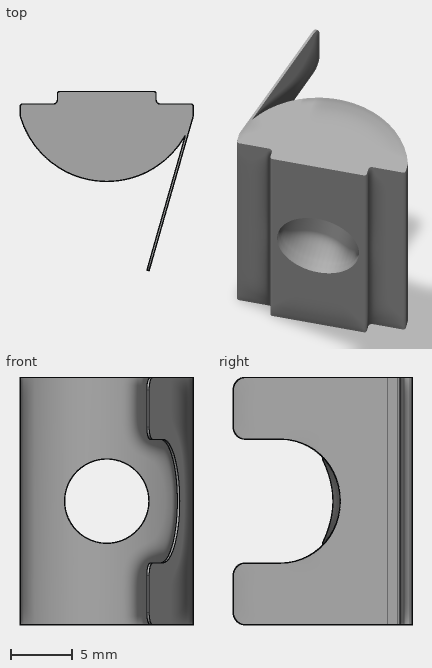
import cadquery as cq
import math

height = 20.0
body_width = 14.0
half_width = body_width / 2
flank_end = 2.0
body_radius = math.hypot(half_width, flank_end)
neck_width = 8.0
neck_depth = 1.0
edge_radius = 0.2
root_radius = 0.3

hole_radius = 3.4

leaf_thickness = 0.2
total_depth = 14.5
leaf_corner_radius = 1.0
notch_radius = 5.0
notch_center = 9.0

lean = math.asin(flank_end / body_radius)
leaf_length = (total_depth - flank_end) / math.cos(lean)


def make_body():
    half_neck = neck_width / 2
    body = (
        cq.Workplane("XY")
        .moveTo(-half_neck, 0)
        .lineTo(half_neck, 0)
        .lineTo(half_neck, -neck_depth)
        .lineTo(half_width, -neck_depth)
        .lineTo(half_width, -flank_end)
        .threePointArc((0, -body_radius), (-half_width, -flank_end))
        .lineTo(-half_width, -neck_depth)
        .lineTo(-half_neck, -neck_depth)
        .close()
        .extrude(height)
    )

    def upright_edges(solid, x, y):
        """Pick the pair of upright edges at (-x, y) and (x, y)."""
        size = edge_radius / 2
        selected = solid.edges(cq.selectors.BoxSelector(
            (-x - size, y - size, 0), (-x + size, y + size, height)))
        return selected.add(solid.edges(cq.selectors.BoxSelector(
            (x - size, y - size, 0), (x + size, y + size, height))))

    body = upright_edges(body, half_neck, 0).fillet(edge_radius)
    body = upright_edges(body, half_width, -neck_depth).fillet(edge_radius)
    return upright_edges(body, half_neck, -neck_depth).fillet(root_radius)


def make_leaf():
    tangent_plane = cq.Plane(
        origin=(half_width, -flank_end, height / 2),
        xDir=(-math.sin(lean), -math.cos(lean), 0),
        normal=(math.cos(lean), -math.sin(lean), 0),
    )
    sheet = cq.Workplane(tangent_plane)
    leaf = sheet.rect(leaf_length, height).extrude(-leaf_thickness)
    leaf = leaf.translate(tangent_plane.xDir * (leaf_length / 2))

    notch_length = leaf_length - notch_center
    notch = (
        sheet.center(notch_center, 0).circle(notch_radius).extrude(-leaf_thickness)
        .union(
            sheet.center(notch_center + notch_length / 2, 0)
            .rect(notch_length, 2 * notch_radius)
            .extrude(-leaf_thickness)
        )
    )
    leaf = leaf.cut(notch)

    normal_edges = cq.selectors.ParallelDirSelector(tangent_plane.zDir)
    return leaf.faces("<Y").edges(normal_edges).fillet(leaf_corner_radius)


def make_hole():
    return (
        cq.Workplane("XZ")
        .center(0, height / 2)
        .circle(hole_radius)
        .extrude(total_depth)
    )


result = make_body().cut(make_hole()).union(make_leaf())